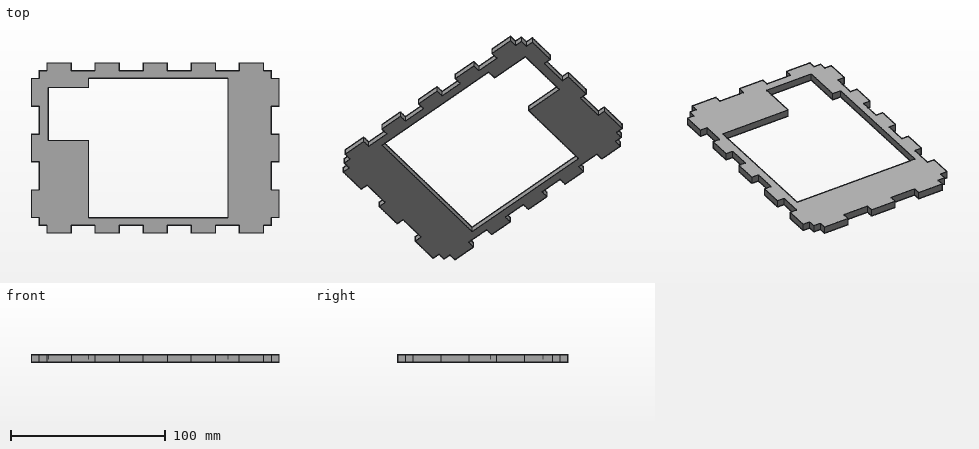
import cadquery as cq

thickness = 5.0
overall_length = 160.0
overall_width = 110.0
tab_depth = thickness
body_length = overall_length - 2 * tab_depth
body_width = overall_width - 2 * tab_depth

corner_step = 5.0
tabs_along_x = 5
tabs_along_y = 3
tab_length_x = 15.75
tab_length_y = 18.0
row_length_x = body_length - 2 * corner_step
row_length_y = body_width - 2 * corner_step

window_size = 90.0
window_center_x = 2.0
bay_depth = 26.0
bay_width = 34.0
bay_center_y = 22.0
window_left_x = window_center_x - window_size / 2
bay_center_x = window_left_x - bay_depth / 2


def block(length, width, center_x=0.0, center_y=0.0):
    """Full-thickness block standing on Z = 0."""
    solid = cq.Workplane("XY").box(length, width, thickness, centered=(True, True, False))
    return solid.translate((center_x, center_y, 0))


def tab_centers(count, tab_length, row_length):
    """Evenly spaced tab centers, with the end tabs flush with the row ends."""
    pitch = (row_length - tab_length) / (count - 1)
    return [(i - (count - 1) / 2) * pitch for i in range(count)]


def tabbed_plate():
    """Body joined with bars that span it; the two ends of a bar form opposite tabs."""
    plate = block(body_length, body_width)
    for x in tab_centers(tabs_along_x, tab_length_x, row_length_x):
        plate = plate.union(block(tab_length_x, overall_width, center_x=x))
    for y in tab_centers(tabs_along_y, tab_length_y, row_length_y):
        plate = plate.union(block(overall_length, tab_length_y, center_y=y))
    return plate


def window_opening():
    """Square window joined with the bay on its -X side."""
    window = block(window_size, window_size, center_x=window_center_x)
    bay = block(bay_depth, bay_width, bay_center_x, bay_center_y)
    return window.union(bay)


result = tabbed_plate().cut(window_opening())